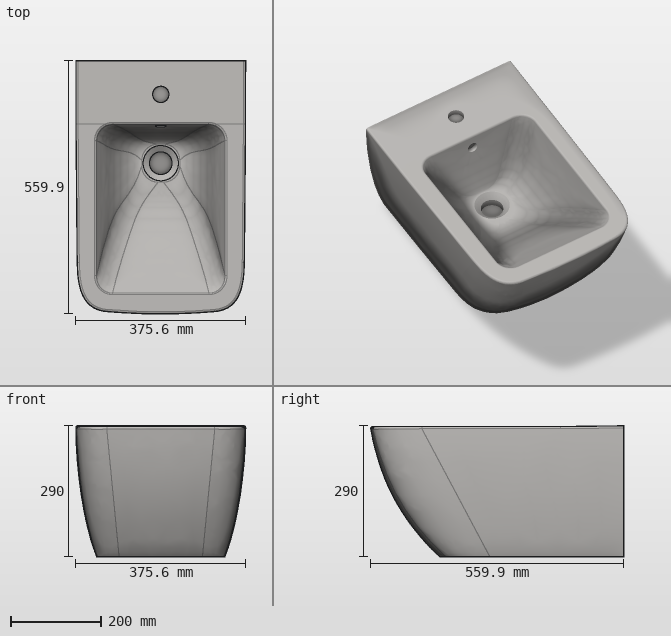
import cadquery as cq

WIDTH = 375.55
DEPTH = 559.88
HEIGHT = 290.0

BASE_HALF_WIDTH = 141.5
BASE_DEPTH = 407.0
TOP_DEPTH = DEPTH + 1.4
SHELL_SECTIONS = [
    (0.0, BASE_HALF_WIDTH, BASE_DEPTH),
    (0.25, 163.5, 472.0),
    (0.5, 177.0, 516.0),
    (0.75, 185.0, 544.0),
    (1.0, WIDTH / 2, TOP_DEPTH),
]
CORNER_START_TOP = 450.0
CORNER_START_BASE = 296.0
FRONT_HALF_WIDTH_TOP = 120.0
FRONT_HALF_WIDTH_BASE = 92.0
SIDE_TAPER = 0.985
SIDE_BULGE = 0.997
FRONT_BOW_TOP = 5.0
FRONT_BOW_BASE = 14.0

DECK_DEPTH = 140.0
RIM_DROP = 1.7
RIM_HEIGHT = HEIGHT - RIM_DROP
RIM_ROUND = 5.0
LIP_ROUND = 5.0

BASIN_FLOOR = 139.0
BASIN_SECTIONS = [
    (BASIN_FLOOR, 42.0, 184.5, 268.5, 36.0),
    (148.0, 73.0, 174.0, 325.0, 28.0),
    (182.0, 103.0, 160.0, 379.0, 36.0),
    (240.0, 128.0, 147.0, 455.0, 37.0),
    (HEIGHT, 143.0, 141.0, 517.0, 36.0),
]

DRAIN_Y = -226.5
DRAIN_RIM_RADIUS = 39.0
DRAIN_BORE_RADIUS = 25.0
DRAIN_DISH_DEPTH = 12.0
DRAIN_BORE_DEPTH = 30.0
OVERFLOW_HEIGHT = 254.0
OVERFLOW_RADIUS = 12.0
OVERFLOW_START_Y = -160.0
OVERFLOW_LENGTH = 24.0
TAP_Y = -74.5
TAP_RADIUS = 18.0
TAP_DEPTH = 15.0

TOLERANCE = 0.1


def between(base, top, fraction):
    """Value part of the way from the base to the top."""
    return base + fraction * (top - base)


def shell_section(fraction, half_width, depth):
    """Closed U-shaped wire of the shell, flat against the wall."""
    corner_y = -between(CORNER_START_BASE, CORNER_START_TOP, fraction)
    corner_x = half_width * SIDE_TAPER
    front_x = between(FRONT_HALF_WIDTH_BASE, FRONT_HALF_WIDTH_TOP, fraction)
    front_bow = between(FRONT_BOW_BASE, FRONT_BOW_TOP, fraction)
    front_y = front_bow - depth
    side_x = half_width * SIDE_BULGE
    side_slope = (3 * corner_x + half_width - 4 * side_x) / -corner_y
    front_slope = 2 * front_bow / front_x
    return (
        cq.Workplane("XY", origin=(0, 0, fraction * HEIGHT))
        .moveTo(half_width, 0)
        .threePointArc((side_x, corner_y / 2), (corner_x, corner_y))
        .spline([(front_x, front_y)], tangents=[(side_slope, -1), (-1, -front_slope)], includeCurrent=True)
        .threePointArc((0, -depth), (-front_x, front_y))
        .spline([(-corner_x, corner_y)], tangents=[(-1, front_slope), (side_slope, 1)], includeCurrent=True)
        .threePointArc((-side_x, corner_y / 2), (-half_width, 0))
        .close()
        .val()
    )


def make_shell():
    """Loft of the sections, with the deck sloping gently down to a level rim."""
    wires = [shell_section(*section) for section in SHELL_SECTIONS]
    shell = cq.Workplane(cq.Solid.makeLoft(wires))
    above_rim = (
        cq.Workplane("YZ")
        .polyline([(0, HEIGHT), (-DECK_DEPTH, RIM_HEIGHT), (-TOP_DEPTH, RIM_HEIGHT), (-TOP_DEPTH, HEIGHT)])
        .close()
        .extrude(WIDTH, both=True)
    )
    return shell.cut(above_rim)


def is_outer_rim(edge):
    """True for the top edges along the sides and the front, but not at the wall or across the deck."""
    center = edge.Center()
    across_deck = abs(center.x) < TOLERANCE and center.y > -DECK_DEPTH - TOLERANCE
    return center.z > RIM_HEIGHT - TOLERANCE and not across_deck


def round_rim(shell):
    return shell.edges().filter(is_outer_rim).fillet(RIM_ROUND)


def basin_section(height, half_width, back, front, radius):
    """Rounded rectangle between the back and front depths."""
    center = cq.Vector(0, -(back + front) / 2, height)
    outline = cq.Sketch().rect(2 * half_width, front - back).vertices().fillet(radius)
    return outline.moved(cq.Location(center))


def make_basin():
    sections = [basin_section(*section) for section in BASIN_SECTIONS]
    return cq.Workplane("XY").placeSketch(*sections).loft()


def is_basin_lip(edge):
    """True for the top edges around the basin opening."""
    box = edge.BoundingBox()
    opening_half_width = BASIN_SECTIONS[-1][1]
    inside = max(-box.xmin, box.xmax) < opening_half_width + TOLERANCE
    opening_front = BASIN_SECTIONS[-1][3]
    in_opening = -opening_front - TOLERANCE < box.ymin and box.ymax < -DECK_DEPTH - TOLERANCE
    return box.zmin > RIM_HEIGHT - TOLERANCE and inside and in_opening


def cut_basin(body):
    return body.cut(make_basin()).edges().filter(is_basin_lip).fillet(LIP_ROUND)


def cut_drain(body):
    """Conical dish in the basin floor, with a blind bore below it."""
    dish = cq.Solid.makeCone(
        DRAIN_BORE_RADIUS,
        DRAIN_RIM_RADIUS,
        DRAIN_DISH_DEPTH,
        pnt=cq.Vector(0, DRAIN_Y, BASIN_FLOOR - DRAIN_DISH_DEPTH),
    )
    bore = (
        cq.Workplane("XY", origin=(0, DRAIN_Y, BASIN_FLOOR))
        .circle(DRAIN_BORE_RADIUS)
        .extrude(-DRAIN_BORE_DEPTH)
    )
    return body.cut(cq.Workplane(dish)).cut(bore)


def cut_overflow(body):
    """Round hole running from the open basin into its back wall."""
    hole = (
        cq.Workplane("XZ", origin=(0, OVERFLOW_START_Y, OVERFLOW_HEIGHT))
        .circle(OVERFLOW_RADIUS)
        .extrude(-OVERFLOW_LENGTH)
    )
    return body.cut(hole)


def cut_tap_hole(body):
    hole = cq.Workplane("XY", origin=(0, TAP_Y, HEIGHT)).circle(TAP_RADIUS).extrude(-TAP_DEPTH)
    return body.cut(hole)


body = round_rim(make_shell())
body = cut_basin(body)
body = cut_drain(body)
body = cut_overflow(body)
result = cut_tap_hole(body)